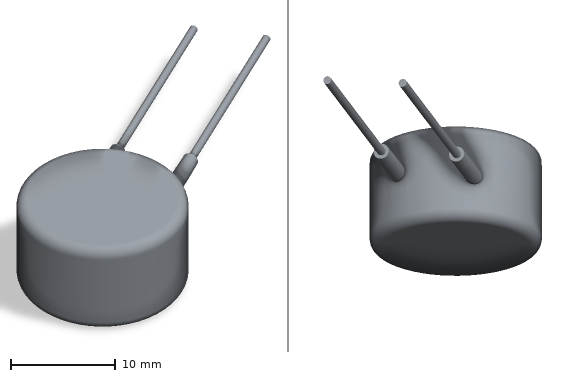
import cadquery as cq

body_diameter = 16.5
body_height = 9.7
edge_radius = 1.0

overall_length = 42.0
lead_spacing = 7.48
lead_stagger = 1.0
wire_diameter = 0.8
sleeve_diameter = 1.6
sleeve_tip_diameter = 1.5
wire_length = 20.08
tip_length = 2.1

body_radius = body_diameter / 2
wire_end = overall_length - body_radius
sleeve_end = wire_end - wire_length
tip_start = sleeve_end - tip_length


def rod(diameter, x, z, start, end):
    """Round rod parallel to Y between two Y positions."""
    section = cq.Workplane("XZ", origin=(x, start, z)).circle(diameter / 2)
    return section.extrude(start - end)


def lead(x, z):
    """Insulated sleeve with a tapered tip, and the bare wire leaving it."""
    root = body_radius / 2
    sleeve = rod(sleeve_diameter, x, z, root, tip_start)
    tip = cq.Workplane(
        cq.Solid.makeCone(
            sleeve_diameter / 2,
            sleeve_tip_diameter / 2,
            tip_length,
            pnt=cq.Vector(x, tip_start, z),
            dir=cq.Vector(0, 1, 0),
        )
    )
    wire = rod(wire_diameter, x, z, sleeve_end, wire_end)
    return sleeve.union(tip).union(wire)


body = (
    cq.Workplane("XY", origin=(0, 0, -body_height / 2))
    .circle(body_radius)
    .extrude(body_height)
    .edges()
    .fillet(edge_radius)
)

result = body
for side in (-1, 1):
    result = result.union(lead(side * lead_spacing / 2, side * lead_stagger / 2))